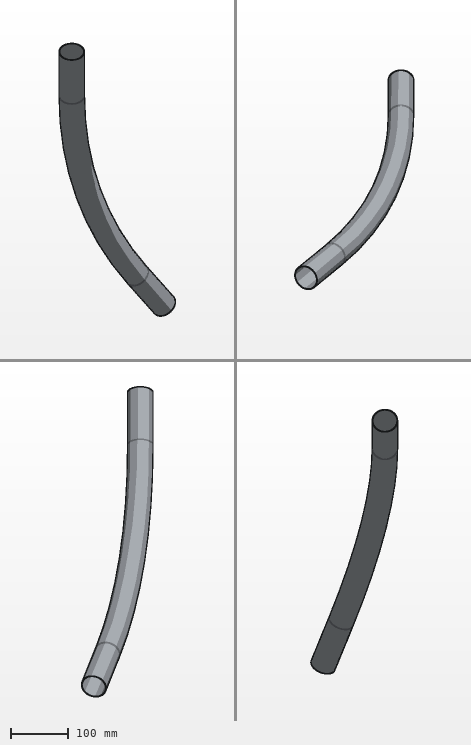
import cadquery as cq
import math

OUTER_DIAMETER = 44.45
INNER_DIAMETER = 41.25
STRAIGHT_LENGTH = 101.6
BEND_RADIUS = 914.4
BEND_ANGLE = 30.0


def point_on_bend(angle_degrees):
    """Centreline (y, z) at an angle into the bend, which starts at the origin."""
    angle = math.radians(angle_degrees)
    y = BEND_RADIUS * (1 - math.cos(angle))
    z = -BEND_RADIUS * math.sin(angle)
    return y, z


def tube_centreline():
    """Vertical straight, bend towards +Y while descending, then a tilted straight."""
    bend_middle = point_on_bend(BEND_ANGLE / 2)
    bend_end = point_on_bend(BEND_ANGLE)
    tilt = math.radians(BEND_ANGLE)
    lower_end = (
        bend_end[0] + STRAIGHT_LENGTH * math.sin(tilt),
        bend_end[1] - STRAIGHT_LENGTH * math.cos(tilt),
    )
    return (
        cq.Workplane("YZ")
        .moveTo(0, STRAIGHT_LENGTH)
        .lineTo(0, 0)
        .threePointArc(bend_middle, bend_end)
        .lineTo(*lower_end)
    )


def bent_tube():
    """Ring section at the top end, swept along the centreline."""
    ring = (
        cq.Workplane("XY", origin=(0, 0, STRAIGHT_LENGTH))
        .circle(OUTER_DIAMETER / 2)
        .circle(INNER_DIAMETER / 2)
    )
    return ring.sweep(tube_centreline())


result = bent_tube()